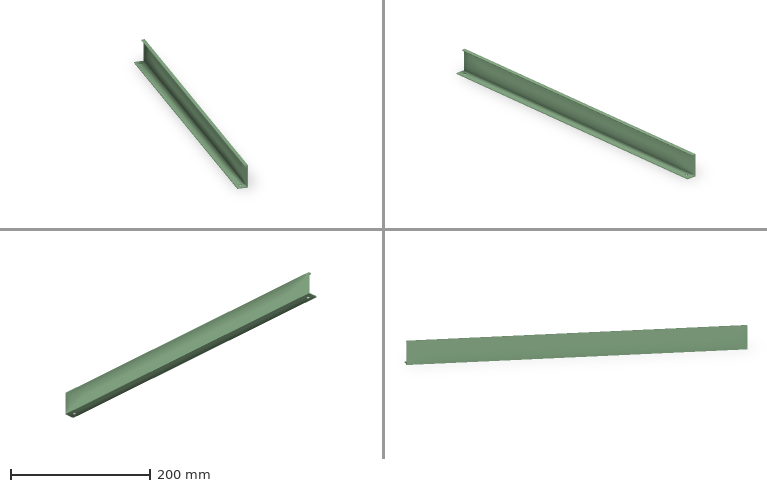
import cadquery as cq
import math

length = 500.0
depth = 16.0
height = 35.0
sheet = 1.5

lip_reach = 5.0
nose_radius = 1.0
underside_angle = 35.0

hole_diameter = 4.5
hole_end_distance = 10.0
hole_back_distance = 8.5

back = depth / 2
web_front = back - sheet


def nose_point(degrees):
    """Point on the nose circle, measured from straight down towards the front."""
    angle = math.radians(degrees)
    center_y = back - lip_reach + nose_radius
    center_z = height - nose_radius
    return (center_y - nose_radius * math.sin(angle), center_z - nose_radius * math.cos(angle))


def make_profile_bar():
    """Bottom flange, upright web and round-nosed top lip, extruded along X."""
    nose_start = nose_point(underside_angle)
    nose_tip = nose_point(90)
    nose_top = nose_point(180)
    underside_run = web_front - nose_start[0]
    underside_root = nose_start[1] - underside_run * math.tan(math.radians(underside_angle))
    return (
        cq.Workplane("YZ")
        .moveTo(back, 0)
        .lineTo(-back, 0)
        .lineTo(-back, sheet)
        .lineTo(web_front, sheet)
        .lineTo(web_front, underside_root)
        .lineTo(*nose_start)
        .threePointArc(nose_tip, nose_top)
        .lineTo(back, height)
        .close()
        .extrude(length / 2, both=True)
    )


def make_hole_cutters():
    """One vertical cylinder through the flange near each end."""
    hole_x = length / 2 - hole_end_distance
    hole_y = back - hole_back_distance
    return (
        cq.Workplane("XY")
        .pushPoints([(-hole_x, hole_y), (hole_x, hole_y)])
        .circle(hole_diameter / 2)
        .extrude(sheet)
    )


result = make_profile_bar().cut(make_hole_cutters())